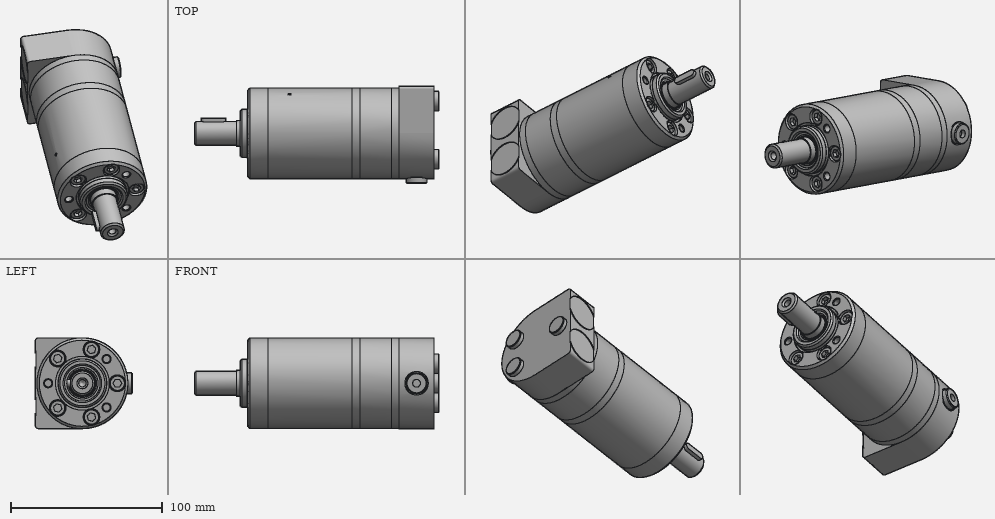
import cadquery as cq
import math


COLLAR_X = 27.7
BOSS_X = 30.2
FLANGE_X = 35.0
HOUSING_X = 48.5
FRONT_PLATE_X = 103.8
GEAR_RING_X = 109.2
REAR_PLATE_X = 130.0
REAR_COVER_X = 134.8
REAR_FACE_X = 158.0
OVERALL_LENGTH = 161.2

BODY_RADIUS = 60.0 / 2
FLANGE_CHAMFER = 1.6

SHAFT_RADIUS = 16.0 / 2
COLLAR_RADIUS = 17.3 / 2
SHAFT_CHAMFER = 1.1
CENTRE_HOLE_DIAMETER = 4.8
CENTRE_HOLE_DEPTH = 9.7
CENTRE_SINK_DIAMETER = 7.3
SINK_ANGLE = 90
DRILL_POINT_ANGLE = 118
KEY_START_X = 4.4
KEY_LENGTH = 16.3
KEY_WIDTH = 5.0
KEY_TOP_Y = 10.2

BOSS_RADIUS = 16.0
BOSS_CHAMFER = 1.1
BOSS_BASE_RADIUS = 16.1
BOSS_BASE_X = 34.5
GROOVE_RADIUS = 17.7
GROOVE_DEPTH = 1.6
SEAL_MOUTH_RADIUS = 12.7
SEAL_BORE_RADIUS = 11.8
SEAL_STEP_RADIUS = 10.3
SEAL_LIP_RADIUS = 9.4
SEAL_DEPTH = 1.1
SEAL_STEP_DEPTH = 1.6
SEAL_LIP_DEPTH = 2.1

SCREW_CIRCLE_RADIUS = 23.0
SCREW_ANGLES = (0, 75, 135, -135, -75)
COUNTERBORE_DIAMETER = 11.0
COUNTERBORE_DEPTH = 4.8
HEAD_DIAMETER = 10.0
HEAD_RECESS = 1.3
HEAD_CHAMFER = 0.3
SOCKET_ACROSS_FLATS = 5.0
SOCKET_DEPTH = 2.9
MOUNT_CIRCLE_RADIUS = 22.5
MOUNT_ANGLES = (45, 180, -45)
MOUNT_HOLE_DIAMETER = 4.8
MOUNT_SINK_DIAMETER = 6.0

DRAIN_DIAMETER = 2.0
DRAIN_X = 62.7
DRAIN_ANGLE = 150
DRAIN_DEPTH = 3.2

PORT_FACE_Y = 31.1
CORNER_RADIUS = 2.1
PORT_SPACING = 30.6
PORT_SPOTFACE_DIAMETER = 25.0
PORT_SPOTFACE_DEPTH = 0.5
REAR_HEAD_DIAMETER = 13.0
REAR_HEAD_CHAMFER = 0.5
REAR_HEAD_CIRCLE_RADIUS = 21.3
REAR_HEAD_ANGLES = (37, 180, -37)

PLUG_X = 146.4
PLUG_DIAMETER = 13.9
PLUG_TOP_Y = -32.9
PLUG_CHAMFER = 0.6
PLUG_SPOTFACE_DIAMETER = 15.5
PLUG_SPOTFACE_Y = -28.9
PLUG_SOCKET_DIAMETER = 5.2
PLUG_SOCKET_DEPTH = 3.2


def yz_plane(x):
    """Sketch plane across the motor axis: local x is Y, local y is Z, normal is +X."""
    return cq.Workplane("YZ", origin=(x, 0, 0))


def xz_plane(x, y):
    """Sketch plane with its normal towards -Y."""
    return cq.Workplane("XZ", origin=(x, y, 0))


def disc(start_x, end_x, radius):
    return yz_plane(start_x).circle(radius).extrude(end_x - start_x)


def revolve_about_x(points):
    """Revolve an (x, radius) profile about the motor axis."""
    return cq.Workplane("XY").polyline(points).close().revolve(360, (0, 0, 0), (1, 0, 0))


def ring_point(radius, angle):
    """(Y, Z) of a point on a circle about the axis, the angle counted from -Y towards +Z."""
    turn = math.radians(angle)
    return (-radius * math.cos(turn), radius * math.sin(turn))


def countersink_cutter(x, hole_diameter, sink_diameter):
    """Conical mouth of a hole along +X."""
    sink_depth = (sink_diameter - hole_diameter) / 2 / math.tan(math.radians(SINK_ANGLE / 2))
    return revolve_about_x([
        (x, 0),
        (x, sink_diameter / 2),
        (x + sink_depth, hole_diameter / 2),
        (x + sink_depth, 0),
    ])


def centre_hole_cutter():
    """Countersunk blind hole with a drill point in the free end of the shaft."""
    hole_radius = CENTRE_HOLE_DIAMETER / 2
    point_length = hole_radius / math.tan(math.radians(DRILL_POINT_ANGLE / 2))
    bore = revolve_about_x([
        (0, 0),
        (0, hole_radius),
        (CENTRE_HOLE_DEPTH, hole_radius),
        (CENTRE_HOLE_DEPTH + point_length, 0),
    ])
    return bore.union(countersink_cutter(0, CENTRE_HOLE_DIAMETER, CENTRE_SINK_DIAMETER))


def make_shaft():
    spindle = disc(0, HOUSING_X, SHAFT_RADIUS).faces("<X").chamfer(SHAFT_CHAMFER)
    collar = disc(COLLAR_X, HOUSING_X, COLLAR_RADIUS)
    key = (
        xz_plane(KEY_START_X + KEY_LENGTH / 2, 0)
        .slot2D(KEY_LENGTH, KEY_WIDTH)
        .extrude(-KEY_TOP_Y)
    )
    return spindle.union(collar).union(key).cut(centre_hole_cutter())


def seal_recess_cutter():
    bore_x = BOSS_X + SEAL_MOUTH_RADIUS - SEAL_BORE_RADIUS
    return revolve_about_x([
        (BOSS_X, 0),
        (BOSS_X, SEAL_MOUTH_RADIUS),
        (bore_x, SEAL_BORE_RADIUS),
        (BOSS_X + SEAL_DEPTH, SEAL_BORE_RADIUS),
        (BOSS_X + SEAL_DEPTH, SEAL_STEP_RADIUS),
        (BOSS_X + SEAL_STEP_DEPTH, SEAL_STEP_RADIUS),
        (BOSS_X + SEAL_STEP_DEPTH, SEAL_LIP_RADIUS),
        (BOSS_X + SEAL_LIP_DEPTH, SEAL_LIP_RADIUS),
        (BOSS_X + SEAL_LIP_DEPTH, 0),
    ])


def make_front_screw(angle):
    """Socket screw head standing on the floor of its counterbore."""
    head_x = FLANGE_X + HEAD_RECESS
    floor_x = FLANGE_X + COUNTERBORE_DEPTH
    head = disc(head_x, floor_x, HEAD_DIAMETER / 2).faces("<X").chamfer(HEAD_CHAMFER)
    socket_corners = SOCKET_ACROSS_FLATS / math.cos(math.pi / 6)
    socket = yz_plane(head_x).polygon(6, socket_corners).extrude(SOCKET_DEPTH)
    y, z = ring_point(SCREW_CIRCLE_RADIUS, angle)
    return head.cut(socket).rotate((0, 0, 0), (1, 0, 0), -angle).translate((0, y, z))


def make_front_cover():
    cover = disc(FLANGE_X, HOUSING_X, BODY_RADIUS).faces("<X").chamfer(FLANGE_CHAMFER)
    cover = cover.cut(disc(FLANGE_X, FLANGE_X + GROOVE_DEPTH, GROOVE_RADIUS))
    cover = cover.union(disc(BOSS_X, HOUSING_X, BOSS_RADIUS).faces("<X").chamfer(BOSS_CHAMFER))
    cover = cover.union(disc(BOSS_BASE_X, HOUSING_X, BOSS_BASE_RADIUS))
    counterbores = (
        yz_plane(FLANGE_X)
        .pushPoints([ring_point(SCREW_CIRCLE_RADIUS, angle) for angle in SCREW_ANGLES])
        .circle(COUNTERBORE_DIAMETER / 2)
        .extrude(COUNTERBORE_DEPTH)
    )
    cover = cover.cut(counterbores)
    for angle in SCREW_ANGLES:
        cover = cover.union(make_front_screw(angle))
    mount_hole = disc(FLANGE_X, HOUSING_X, MOUNT_HOLE_DIAMETER / 2).union(
        countersink_cutter(FLANGE_X, MOUNT_HOLE_DIAMETER, MOUNT_SINK_DIAMETER)
    )
    for angle in MOUNT_ANGLES:
        y, z = ring_point(MOUNT_CIRCLE_RADIUS, angle)
        cover = cover.cut(mount_hole.translate((0, y, z)))
    return cover.cut(seal_recess_cutter()).cut(disc(BOSS_X, HOUSING_X, COLLAR_RADIUS))


def make_housing():
    housing = disc(HOUSING_X, FRONT_PLATE_X, BODY_RADIUS)
    drain = (
        xz_plane(DRAIN_X, DRAIN_DEPTH - BODY_RADIUS)
        .circle(DRAIN_DIAMETER / 2)
        .extrude(2 * DRAIN_DEPTH)
        .rotate((0, 0, 0), (1, 0, 0), -DRAIN_ANGLE)
    )
    return housing.cut(drain)


def make_plug():
    """Plug head standing on its spotface, with a round socket."""
    plug = (
        xz_plane(PLUG_X, 0)
        .circle(PLUG_DIAMETER / 2)
        .extrude(-PLUG_TOP_Y)
        .faces("<Y")
        .chamfer(PLUG_CHAMFER)
    )
    socket = xz_plane(PLUG_X, PLUG_TOP_Y).circle(PLUG_SOCKET_DIAMETER / 2).extrude(-PLUG_SOCKET_DEPTH)
    return plug.cut(socket)


def make_rear_cover():
    cover = (
        yz_plane(REAR_COVER_X)
        .moveTo(0, BODY_RADIUS)
        .lineTo(PORT_FACE_Y, BODY_RADIUS)
        .lineTo(PORT_FACE_Y, -BODY_RADIUS)
        .lineTo(0, -BODY_RADIUS)
        .threePointArc((-BODY_RADIUS, 0), (0, BODY_RADIUS))
        .close()
        .extrude(REAR_FACE_X - REAR_COVER_X)
        .edges("|X and >Y")
        .fillet(CORNER_RADIUS)
    )
    port_x = (REAR_COVER_X + REAR_FACE_X) / 2
    port_spotfaces = (
        xz_plane(port_x, PORT_FACE_Y)
        .pushPoints([(0, PORT_SPACING / 2), (0, -PORT_SPACING / 2)])
        .circle(PORT_SPOTFACE_DIAMETER / 2)
        .extrude(PORT_SPOTFACE_DEPTH)
    )
    plug_spotface = (
        xz_plane(PLUG_X, PLUG_SPOTFACE_Y)
        .circle(PLUG_SPOTFACE_DIAMETER / 2)
        .extrude(BODY_RADIUS + PLUG_SPOTFACE_Y)
    )
    screw_heads = (
        yz_plane(REAR_FACE_X)
        .pushPoints([ring_point(REAR_HEAD_CIRCLE_RADIUS, angle) for angle in REAR_HEAD_ANGLES])
        .circle(REAR_HEAD_DIAMETER / 2)
        .extrude(OVERALL_LENGTH - REAR_FACE_X)
        .faces(">X")
        .chamfer(REAR_HEAD_CHAMFER)
    )
    return cover.cut(port_spotfaces).cut(plug_spotface).union(make_plug()).union(screw_heads)


shaft = make_shaft()
front_cover = make_front_cover()
housing = make_housing()
front_plate = disc(FRONT_PLATE_X, GEAR_RING_X, BODY_RADIUS)
gear_ring = disc(GEAR_RING_X, REAR_PLATE_X, BODY_RADIUS)
rear_plate = disc(REAR_PLATE_X, REAR_COVER_X, BODY_RADIUS)
rear_cover = make_rear_cover()

result = cq.Compound.makeCompound([
    shaft.val(),
    front_cover.val(),
    housing.val(),
    front_plate.val(),
    gear_ring.val(),
    rear_plate.val(),
    rear_cover.val(),
])